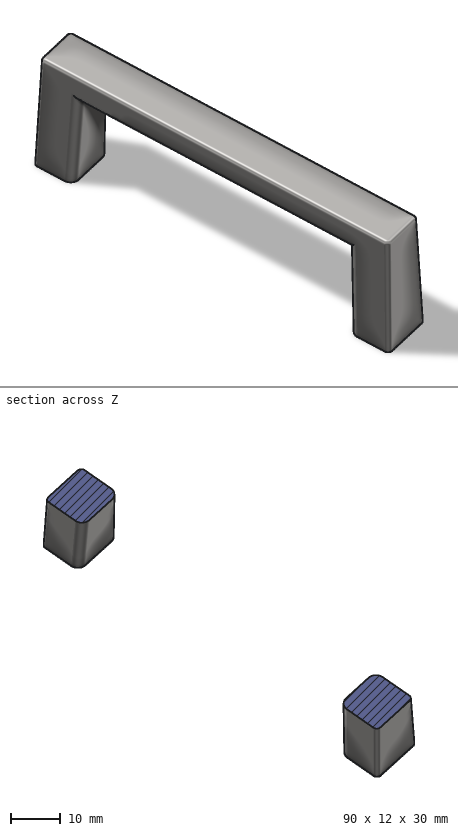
import cadquery as cq
import math

length = 90.0
width = 12.0
height = 30.0

foot_length = 10.0
opening_height = 23.0
wall_lean = 1.0
leg_lean = 1.0

outer_radius = 1.0
opening_radius = 2.0


def tapered_block():
    """Solid block whose four walls lean inwards towards the top."""
    draft_angle = math.degrees(math.atan2(wall_lean, height))
    return cq.Workplane("XY").rect(length, width).extrude(height, taper=draft_angle)


def opening_cutter():
    """Prism between the legs, narrowing upwards so that the legs lean inwards."""
    half_base = length / 2 - foot_length
    half_top = half_base - leg_lean
    return (
        cq.Workplane("XZ")
        .polyline([
            (-half_base, 0),
            (half_base, 0),
            (half_top, opening_height),
            (-half_top, opening_height),
        ])
        .close()
        .extrude(width / 2, both=True)
    )


def round_outside(block):
    """Round the four leaning corners and the rim of the top face."""
    return block.faces(">Z or <X or >X").edges("not <Z").fillet(outer_radius)


def round_opening(handle):
    """Round the long edges of the opening on both sides, mitred at its corners."""
    search_length = length - foot_length
    search_height = (height + opening_height) / 2
    region = cq.selectors.BoxSelector(
        (-search_length / 2, -width, 0),
        (search_length / 2, width, search_height),
    )
    return handle.edges(region).edges("not(<Z or |Y)").fillet(opening_radius)


handle = round_outside(tapered_block()).cut(opening_cutter())
result = round_opening(handle)